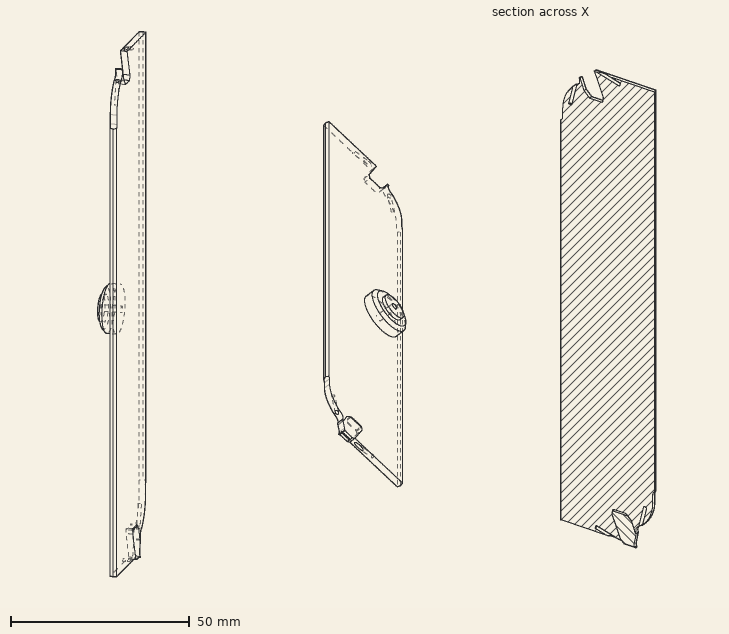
import cadquery as cq
import math


thickness = 2.0
width = 31.5
half_length = 74.9
ridge_height = 0.3
relief_depth = 0.6
relief_start = 56.6
runout_radius = 1.8
corner_radius = 11.5
corner_start = 59.3

clamp_lip = (-4.5, half_length)
clamp_root = (-1.5, 67.2)
pocket_floor_z = 65.7
floor_back = (-1.8, pocket_floor_z)
floor_front = (-6.0, pocket_floor_z)
arm_base = (-7.9, 67.5)
arm_tip_inner = (-9.2, 71.1)
arm_tip_outer = (-9.7, 71.0)
arm_flank_mid = (-9.8, 69.0)
arm_root_z = 68.1

insert_floor_gap = 0.5
insert_overhang = 1.2
rake_z = 75.8
rake_back = (-5.6, rake_z)
rake_front = (-8.8, rake_z)
cutting_edge = (-9.0, half_length + insert_overhang)
flank_waist = (-8.9, 74.7)
flare_back = (-8.0, rake_z)
side_flare = 0.2
edge_groove_depth = 0.5
edge_groove_width = 1.0

boss_y = -6.5
boss_z = 0.3
boss_height = 4.0
boss_diameter = 14.0
boss_chamfer = 1.0
spigot_height = 1.0
spigot_radius = 4.0
inlet_radius = 0.9

outlet_radius = 0.5
outlet_depth = 6.0
clamp_outlet = (-1.8, half_length)
clamp_outlet_rise = 15.0
nose_outlet = (-11.2, 67.3)

half_width = width / 2
relief_y = -(half_width - relief_depth)
face_x = -thickness / 2


def half_turn(shape):
    """Turn a shape from the +Z end to the -Z end."""
    return shape.rotate((0, 0, 0), (1, 0, 0), 180)


def plate(outline):
    """Extrude a closed (Y, Z) outline through the blade thickness."""
    return outline.extrude(thickness / 2, both=True)


def circle_point(center, radius, degrees):
    angle = math.radians(degrees)
    return (center[0] + radius * math.cos(angle), center[1] + radius * math.sin(angle))


def make_blank():
    """Full-length bar whose long edges are shallow V ridges."""
    edge_y = half_width - ridge_height
    section = [
        (-thickness / 2, -edge_y),
        (0, -half_width),
        (thickness / 2, -edge_y),
        (thickness / 2, edge_y),
        (0, half_width),
        (-thickness / 2, edge_y),
    ]
    return cq.Workplane("XY").polyline(section).close().extrude(half_length, both=True)


def make_end_cut():
    """Material removed from one end: insert pocket, arm flank, round nose and edge relief."""
    outside_y = -(half_width + 1.5)
    outside_z = half_length + 1.5

    nose_center = (relief_y + corner_radius, corner_start)
    root_angle = 180 - math.degrees(math.asin((arm_root_z - corner_start) / corner_radius))
    arm_root = circle_point(nose_center, corner_radius, root_angle)
    nose_mid = circle_point(nose_center, corner_radius, (180 + root_angle) / 2)
    nose_end = (relief_y, corner_start)

    runout_angle = math.degrees(math.acos(1 - relief_depth / runout_radius))
    runout_center = (relief_y - runout_radius, relief_start)
    runout_mid = circle_point(runout_center, runout_radius, -runout_angle / 2)
    runout_end = circle_point(runout_center, runout_radius, -runout_angle)

    outline = (
        cq.Workplane("YZ")
        .moveTo(clamp_lip[0], outside_z)
        .lineTo(*clamp_lip)
        .lineTo(*clamp_root)
        .lineTo(*floor_back)
        .lineTo(*floor_front)
        .lineTo(*arm_base)
        .lineTo(*arm_tip_inner)
        .lineTo(*arm_tip_outer)
        .threePointArc(arm_flank_mid, arm_root)
        .threePointArc(nose_mid, nose_end)
        .lineTo(relief_y, relief_start)
        .threePointArc(runout_mid, runout_end)
        .lineTo(outside_y, runout_end[1])
        .lineTo(outside_y, outside_z)
        .close()
    )
    return plate(outline)


def make_outlet(mouth, direction):
    """Coolant bore at mid-thickness, running back from its mouth against the jet direction."""
    mouth_overrun = 3.0
    jet = cq.Vector(0, *direction).normalized()
    start = cq.Vector(0, *mouth) + jet * mouth_overrun
    return cq.Workplane(cq.Solid.makeCylinder(outlet_radius, outlet_depth + mouth_overrun, start, jet * -1))


def make_outlets():
    """Two jets at one end, one from the clamp and one from below the support arm."""
    rise = math.radians(clamp_outlet_rise)
    clamp_jet = make_outlet(clamp_outlet, (-math.cos(rise), math.sin(rise)))
    toward_edge = (cutting_edge[0] - nose_outlet[0], cutting_edge[1] - nose_outlet[1])
    return clamp_jet, make_outlet(nose_outlet, toward_edge)


def make_boss():
    """Chamfered round boss with a spigot on the -X face."""
    face = cq.Workplane("YZ", origin=(face_x, boss_y, boss_z))
    boss = face.circle(boss_diameter / 2).extrude(-boss_height).faces("<X").chamfer(boss_chamfer)
    spigot = face.circle(spigot_radius).extrude(-(boss_height + spigot_height))
    return boss.union(spigot)


def make_inlet():
    """Bore from the spigot end to the middle of the blade thickness."""
    inlet_depth = boss_height + spigot_height + thickness / 2
    return cq.Workplane("YZ", origin=(0, boss_y, boss_z)).circle(inlet_radius).extrude(-inlet_depth)


def make_blade():
    body = make_blank()
    for end_feature in (make_end_cut(), *make_outlets()):
        body = body.cut(end_feature).cut(half_turn(end_feature))
    return body.union(make_boss()).cut(make_inlet())


def make_flared_nose():
    """Nose of the insert, widening from its inner limit to the ends of the cutting edge."""
    along = (cq.Vector(0, *flare_back) - cq.Vector(0, *flank_waist)).normalized()
    start_plane = cq.Plane(origin=(0, *flank_waist), xDir=(1, 0, 0), normal=along.toTuple())
    reach = start_plane.toLocalCoords(cq.Vector(0, *cutting_edge)).y
    inner_half = thickness / 2
    outer_half = inner_half + side_flare
    section = [(-inner_half, 0), (inner_half, 0), (outer_half, reach), (-outer_half, reach)]
    wedge = cq.Workplane(start_plane).polyline(section).close().extrude(half_width, both=True)
    outline = [flank_waist, cutting_edge, rake_front, flare_back]
    nose = cq.Workplane("YZ").polyline(outline).close().extrude(outer_half, both=True)
    return nose.intersect(wedge)


def make_insert():
    """Cutting insert filling the pocket, with a flared nose and a V groove across its cutting edge."""
    seat_z = pocket_floor_z + insert_floor_gap
    wall_lean = (floor_back[0] - clamp_root[0]) / (floor_back[1] - clamp_root[1])
    seat_back = (floor_back[0] + wall_lean * insert_floor_gap, seat_z)
    base_lean = (arm_base[0] - floor_front[0]) / (arm_base[1] - floor_front[1])
    seat_front = (floor_front[0] + base_lean * insert_floor_gap, seat_z)
    outline = [
        seat_back,
        seat_front,
        arm_base,
        arm_tip_inner,
        arm_tip_outer,
        flank_waist,
        cutting_edge,
        rake_front,
        rake_back,
        clamp_lip,
        clamp_root,
    ]
    body = plate(cq.Workplane("YZ").polyline(outline).close()).union(make_flared_nose())
    groove_section = [
        (-edge_groove_width / 2, cutting_edge[1]),
        (0, cutting_edge[1] - edge_groove_depth),
        (edge_groove_width / 2, cutting_edge[1]),
    ]
    groove = cq.Workplane("XZ").polyline(groove_section).close().extrude(half_width)
    return half_turn(body.cut(groove))


blade = make_blade()
insert = make_insert()
result = cq.Compound.makeCompound([blade.val(), insert.val()])